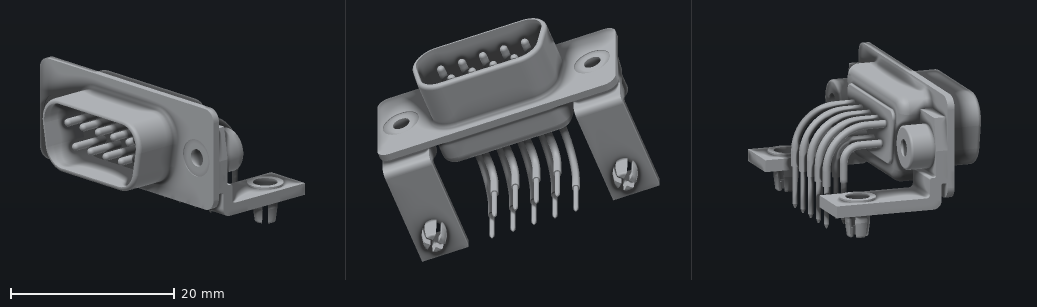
import cadquery as cq
import math


flange_width = 31.2
flange_top = 6.65
flange_bottom = -6.27
flange_thick = 0.9
flange_corner = 1.5
blank_margin = 3.12
selection_gap = 0.03

side_slope = math.radians(10)
shell_half_height = 4.65
shell_half_width = 8.58
shell_corner = 3.15
shell_front = -6.15
shell_wall = 0.55
shell_lip_round = 0.5
shell_foot_fillet = 0.47
shell_floor = 0.0
rear_half_height = 5.75
rear_half_width = 9.17
rear_corner = 2.03
rear_face = 4.87
rear_edge_round = 1.15
rear_foot_fillet = 0.78
pad_half_height = 3.55
pad_half_width = 7.52
pad_corner = 1.0
pad_face = 5.27
pad_edge_round = 0.2

pin_pitch = 2.75
upper_count = 5
lower_count = 4
row_height = 1.4
pin_diameter = 0.97
pin_front = -5.15
tail_diameter = 0.62
tail_shoulder = -5.83
tail_taper_start = -10.57
tail_end = -11.1
tail_end_diameter = 0.2
upper_tail_y = 12.98
upper_bend = 5.25
lower_tail_y = 10.2
lower_bend = 2.0

mount_x = 12.5
bracket_width = 6.08
bracket_top = 4.05
bracket_top_width = 4.85
bracket_back = 15.38
sheet_thick = 1.5
leg_top = -5.83
leg_bottom = leg_top - sheet_thick
joggle = 0.78
joggle_front_z = -4.15
joggle_rear_z = -3.35
joggle_round = 0.22
bend_outer = 1.05
bend_inner = 0.5

standoff_diameter = 5.5
standoff_back = 5.5
standoff_edge_round = 0.3
mount_hole = 2.18
mount_recess_diameter = 4.7
mount_recess_depth = 0.1

lock_y = 11.55
collar_diameter = 4.52
collar_top = leg_top + 0.28
lock_mouth_radius = 1.53
lock_mouth_depth = 0.87
lock_bore_radius = 1.03
lock_neck_radius = 1.47
lock_bulge_radius = 1.55
lock_bulge_z = -8.6
lock_end_radius = 1.3
lock_end_round = 0.3
lock_end_z = -10.57
lock_bore_floor = -9.45
lock_slot = 0.75


def d_body(half_height, half_width, corner, back, front):
    """D-shaped prism along Y, wider at the top, with rounded corners."""
    lean = half_height * math.tan(side_slope)
    top = half_width + lean
    bottom = half_width - lean
    return (
        cq.Workplane("XZ", origin=(0, back, 0))
        .moveTo(-top, half_height)
        .lineTo(top, half_height)
        .lineTo(bottom, -half_height)
        .lineTo(-bottom, -half_height)
        .close()
        .extrude(back - front)
        .edges("|Y")
        .fillet(corner)
    )


def flange_box(width, bottom, top, back, front):
    """Box along Y, centred on X."""
    return (
        cq.Workplane("XZ", origin=(0, back, (top + bottom) / 2))
        .rect(width, top - bottom)
        .extrude(back - front)
    )


def foot_edges(y):
    """Selector for the shell outline on a flange face, inside the flange border."""
    reach = flange_width / 2 - selection_gap
    return cq.selectors.BoxSelector(
        (-reach, y - selection_gap, flange_bottom),
        (reach, y + selection_gap, flange_top),
        boundingbox=True,
    )


def make_housing():
    """Flange, front shell and rear shell, trimmed to the flange outline."""
    shell = d_body(shell_half_height, shell_half_width, shell_corner, flange_thick / 2, shell_front)
    shell = shell.faces("<Y").edges().fillet(shell_lip_round)
    rear = d_body(rear_half_height, rear_half_width, rear_corner, rear_face, flange_thick / 2)
    rear = rear.faces(">Y").edges().fillet(rear_edge_round)
    blank = flange_box(
        flange_width, flange_bottom - blank_margin, flange_top + blank_margin, flange_thick, 0
    )
    body = blank.union(shell).union(rear)
    body = body.edges(foot_edges(0)).fillet(shell_foot_fillet)
    body = body.edges(foot_edges(flange_thick)).fillet(rear_foot_fillet)
    outline = flange_box(flange_width, flange_bottom, flange_top, rear_face, shell_front)
    body = body.intersect(outline.edges("|Y").fillet(flange_corner))
    cavity = d_body(
        shell_half_height - shell_wall,
        shell_half_width - shell_wall / math.cos(side_slope),
        shell_corner - shell_wall,
        shell_floor,
        shell_front,
    )
    pad = d_body(pad_half_height, pad_half_width, pad_corner, pad_face, flange_thick)
    pad = pad.faces(">Y").edges().fillet(pad_edge_round)
    return body.cut(cavity).union(pad)


def make_contact(x, z, tail_y, bend):
    """Pin along Y that bends down into a thinner tail with a tapered tip."""
    pin_radius = pin_diameter / 2
    tip_centre = pin_front + pin_radius
    front = (
        cq.Workplane("XZ", origin=(x, flange_thick, z))
        .circle(pin_radius)
        .extrude(flange_thick - tip_centre)
    )
    tip = cq.Workplane("XY", origin=(x, tip_centre, z)).sphere(pin_radius)
    path = (
        cq.Workplane("YZ", origin=(x, 0, 0))
        .moveTo(flange_thick, z)
        .lineTo(tail_y - bend, z)
        .radiusArc((tail_y, z - bend), bend)
        .lineTo(tail_y, tail_shoulder)
    )
    wire = cq.Workplane("XZ", origin=(x, flange_thick, z)).circle(pin_radius).sweep(path)
    tail = (
        cq.Workplane("XZ", origin=(x, tail_y, 0))
        .moveTo(0, tail_shoulder)
        .lineTo(tail_diameter / 2, tail_shoulder)
        .lineTo(tail_diameter / 2, tail_taper_start)
        .lineTo(tail_end_diameter / 2, tail_end)
        .lineTo(0, tail_end)
        .close()
        .revolve(360, (0, 0, 0), (0, 1, 0))
    )
    return front.union(tip).union(wire).union(tail)


def make_bracket_sheet(x):
    """Joggled angle of sheet, narrowing above mid height."""
    face = flange_thick
    lower = face + joggle
    profile = (
        cq.Workplane("YZ", origin=(x - bracket_width / 2, 0, 0))
        .polyline(
            [
                (face, bracket_top),
                (face, joggle_front_z),
                (lower, joggle_front_z),
                (lower, leg_bottom),
                (bracket_back, leg_bottom),
                (bracket_back, leg_top),
                (lower + sheet_thick, leg_top),
                (lower + sheet_thick, joggle_rear_z),
                (face + sheet_thick, joggle_rear_z),
                (face + sheet_thick, bracket_top),
            ]
        )
        .close()
        .extrude(bracket_width)
    )

    def bend_edge(y, z):
        """Selector for the profile edge through a corner."""
        return cq.selectors.NearestToPointSelector((x, y, z))

    profile = profile.edges(bend_edge(lower, leg_bottom)).fillet(bend_outer)
    profile = profile.edges(bend_edge(lower + sheet_thick, leg_top)).fillet(bend_inner)
    for y, z in [
        (lower, joggle_front_z),
        (lower + sheet_thick, joggle_rear_z),
        (face + sheet_thick, joggle_rear_z),
    ]:
        profile = profile.edges(bend_edge(y, z)).fillet(joggle_round)
    silhouette = (
        cq.Workplane("XZ", origin=(x, bracket_back, 0))
        .polyline(
            [
                (-bracket_width / 2, leg_bottom),
                (bracket_width / 2, leg_bottom),
                (bracket_width / 2, 0),
                (bracket_top_width / 2, bracket_top),
                (-bracket_top_width / 2, bracket_top),
                (-bracket_width / 2, 0),
            ]
        )
        .close()
        .extrude(bracket_back - flange_thick)
    )
    return profile.intersect(silhouette)


def make_standoff(x):
    """Round boss behind the flange."""
    return (
        cq.Workplane("XZ", origin=(x, standoff_back, 0))
        .circle(standoff_diameter / 2)
        .extrude(standoff_back - flange_thick)
        .faces(">Y")
        .edges()
        .fillet(standoff_edge_round)
    )


def add_board_lock(bracket, x):
    """Collar and four sprung prongs around a bore with a bowl-shaped mouth."""
    profile_plane = cq.Workplane("XZ", origin=(x, lock_y, 0))
    axis = ((0, 0, 0), (0, 1, 0))
    plug = (
        profile_plane.polyline(
            [
                (0, collar_top),
                (collar_diameter / 2, collar_top),
                (collar_diameter / 2, leg_top),
                (lock_neck_radius, leg_top),
                (lock_neck_radius, leg_bottom),
                (lock_bulge_radius, lock_bulge_z),
                (lock_end_radius, lock_end_z),
                (0, lock_end_z),
            ]
        )
        .close()
        .revolve(360, *axis)
        .faces("<Z")
        .edges()
        .fillet(lock_end_round)
    )
    bowl_radius = lock_mouth_radius - lock_bore_radius
    bowl_top = collar_top - lock_mouth_depth
    bore = (
        profile_plane.moveTo(0, collar_top)
        .lineTo(lock_mouth_radius, collar_top)
        .lineTo(lock_mouth_radius, bowl_top)
        .radiusArc((lock_bore_radius, bowl_top - bowl_radius), bowl_radius)
        .lineTo(lock_bore_radius, lock_bore_floor)
        .lineTo(0, lock_bore_floor)
        .close()
        .revolve(360, *axis)
    )
    bracket = bracket.union(plug).cut(bore)
    slot_depth = leg_bottom - lock_end_z
    for angle in (45, 135):
        slot = (
            cq.Workplane("XY", origin=(x, lock_y, lock_end_z))
            .transformed(rotate=(0, 0, angle))
            .rect(collar_diameter, lock_slot)
            .extrude(slot_depth)
        )
        bracket = bracket.cut(slot)
    return bracket


result = make_housing()

rows = (
    (upper_count, row_height, upper_tail_y, upper_bend),
    (lower_count, -row_height, lower_tail_y, lower_bend),
)
for count, z, tail_y, bend in rows:
    for i in range(count):
        x = (i - (count - 1) / 2) * pin_pitch
        result = result.union(make_contact(x, z, tail_y, bend))

for x in (-mount_x, mount_x):
    bracket = make_bracket_sheet(x).union(make_standoff(x))
    result = result.union(add_board_lock(bracket, x))

for x in (-mount_x, mount_x):
    hole = cq.Workplane("XZ", origin=(x, standoff_back, 0)).circle(mount_hole / 2).extrude(standoff_back)
    recess = (
        cq.Workplane("XZ", origin=(x, mount_recess_depth, 0))
        .circle(mount_recess_diameter / 2)
        .extrude(mount_recess_depth)
    )
    result = result.cut(hole).cut(recess)